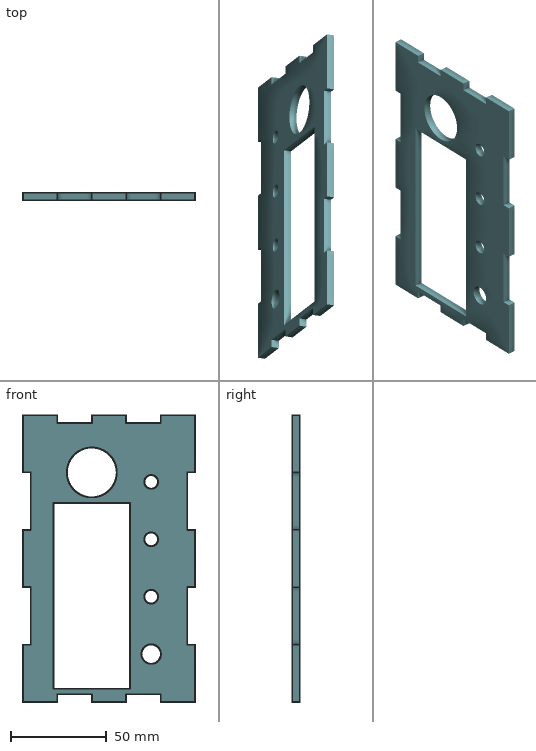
import cadquery as cq

width = 90.0
height = 150.0
thickness = 4.0

steps_per_edge = 5
notch_depth = thickness
notch_width = width / steps_per_edge
notch_height = height / steps_per_edge

opening_x = -9.0
window_width = 39.9
window_height = 97.0
window_z = -19.5
large_hole_diameter = 26.0
large_hole_z = 45.0

column_x = 22.0
column_top_z = 40.0
column_pitch = 30.0
column_diameters = [7.0, 7.0, 7.0, 10.0]


def block(size_x, size_z, x, z):
    """Rectangular cutter through the panel, centred at (x, z)."""
    return cq.Workplane("XY").box(size_x, 2 * thickness, size_z).translate((x, 0, z))


def round_cutter(diameter, x, z):
    """Round cutter through the panel, centred at (x, z)."""
    return (
        cq.Workplane("XZ")
        .center(x, z)
        .circle(diameter / 2)
        .extrude(thickness, both=True)
    )


panel = cq.Workplane("XY").box(width, thickness, height)

for side in (-1, 1):
    for offset in (-1, 1):
        panel = panel.cut(
            block(notch_width, 2 * notch_depth, offset * notch_width, side * height / 2)
        )
        panel = panel.cut(
            block(2 * notch_depth, notch_height, side * width / 2, offset * notch_height)
        )

panel = panel.cut(block(window_width, window_height, opening_x, window_z))
panel = panel.cut(round_cutter(large_hole_diameter, opening_x, large_hole_z))

for index, diameter in enumerate(column_diameters):
    hole_z = column_top_z - index * column_pitch
    panel = panel.cut(round_cutter(diameter, column_x, hole_z))

result = panel